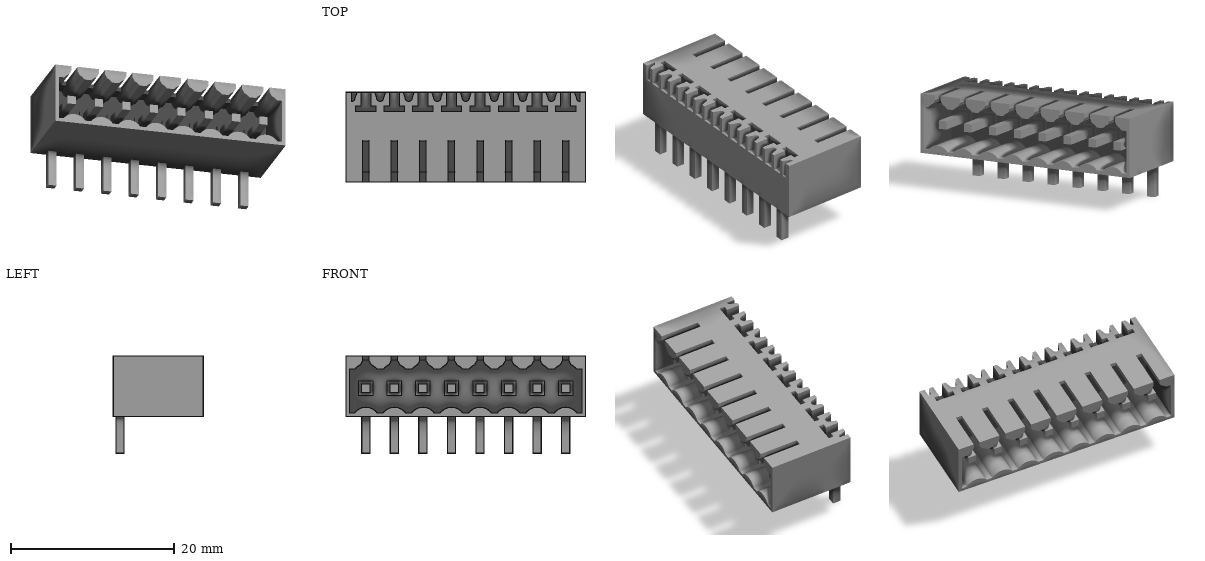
import cadquery as cq
import math


length = 29.4
depth = 11.05
height = 7.45
side_wall = 0.47
floor = 0.45

pin_count = 8
pitch = 3.5
pin_size = 1.03
pin_axis_z = 3.5
pin_tip_y = 1.23
pin_back_gap = 0.32
pin_drop = 4.5
pin_positions = [length / 2 + (i - (pin_count - 1) / 2) * pitch for i in range(pin_count)]

cavity_depth = 7.05
cavity_top = height - 1.6
lobe_radius = 1.7
hump_half_width = 1.38
arch_half_width = 1.32

slot_width = 0.8
slot_length = 5.05
groove_roof = height - 0.53

flare_top = height - 0.62
flare_bottom = height - 1.2
flare_width = 1.47

collar_size = 1.75
collar_length = 0.5

rear_cut_depth = 2.05

stem_width = 1.2
bar_width = 2.5
bar_near = 1.7
bar_far = 2.38

notch_width = 1.35
notch_depth = 1.15
notch_flank_depth = 0.68
notch_flank_half_width = 0.45


def block(x_range, y_range, z_range):
    """Box that fills the given ranges along X, Y and Z."""
    (x0, x1), (y0, y1), (z0, z1) = x_range, y_range, z_range
    return cq.Workplane("XY").box(x1 - x0, y1 - y0, z1 - z0, centered=False).translate((x0, y0, z0))


def around(center, size):
    """Range of the given size centred on a coordinate."""
    return (center - size / 2, center + size / 2)


def lobe(x, axis_z):
    """Round bar along Y, from the mouth to the back wall of the cavity."""
    return cq.Workplane("XZ", origin=(x, 0, axis_z)).circle(lobe_radius).extrude(-cavity_depth)


def roof_groove(x):
    """Flared groove along Y above a pin, as long as the cavity."""
    return (
        cq.Workplane("XZ", origin=(x, 0, 0))
        .moveTo(-slot_width / 2, groove_roof)
        .lineTo(slot_width / 2, groove_roof)
        .lineTo(slot_width / 2, flare_top)
        .lineTo(flare_width / 2, flare_bottom)
        .lineTo(-flare_width / 2, flare_bottom)
        .lineTo(-slot_width / 2, flare_top)
        .close()
        .extrude(-cavity_depth)
    )


def cavity():
    space = block((side_wall, length - side_wall), (0, cavity_depth), (floor, cavity_top))
    hump_axis_z = floor - math.sqrt(lobe_radius**2 - hump_half_width**2)
    arch_axis_z = cavity_top - math.sqrt(lobe_radius**2 - arch_half_width**2)
    for x in pin_positions:
        space = space.cut(lobe(x, hump_axis_z))
        space = space.union(lobe(x, arch_axis_z))
        space = space.union(roof_groove(x))
    for x in pin_positions:
        collar_y = (cavity_depth - collar_length, cavity_depth)
        space = space.cut(block(around(x, collar_size), collar_y, around(pin_axis_z, collar_size)))
    return space


def top_slot(x):
    return block(around(x, slot_width), (0, slot_length), (cavity_top, height))


def t_pocket(x):
    z_range = (height - rear_cut_depth, height)
    stem = block(around(x, stem_width), (depth - bar_far, depth), z_range)
    bar = block(around(x, bar_width), (depth - bar_far, depth - bar_near), z_range)
    return stem.union(bar)


def back_notch(x):
    flank_y = depth - notch_flank_depth
    return (
        cq.Workplane("XY", origin=(0, 0, height))
        .moveTo(x - notch_width / 2, depth)
        .lineTo(x - notch_flank_half_width, flank_y)
        .threePointArc((x, depth - notch_depth), (x + notch_flank_half_width, flank_y))
        .lineTo(x + notch_width / 2, depth)
        .close()
        .extrude(-rear_cut_depth)
    )


def back_notches():
    """All notches; the outermost two are cut off flat at their middle, leaving the inner half."""
    first_x = pin_positions[0] - pitch / 2
    last_x = pin_positions[-1] + pitch / 2
    notches = back_notch(first_x)
    for i in range(1, pin_count + 1):
        notches = notches.union(back_notch(first_x + i * pitch))
    return notches.intersect(block((first_x, last_x), (0, depth), (0, height)))


def make_pin(x):
    """Right-angle pin: a contact along Y and a leg down at the back."""
    x_range = around(x, pin_size)
    back_y = depth - pin_back_gap
    top_z = pin_axis_z + pin_size / 2
    contact = block(x_range, (pin_tip_y, back_y), around(pin_axis_z, pin_size))
    leg = block(x_range, (back_y - pin_size, back_y), (-pin_drop, top_z))
    return contact.union(leg)


def make_housing(pins):
    housing = block((0, length), (0, depth), (0, height)).cut(cavity()).cut(back_notches())
    for x in pin_positions:
        housing = housing.cut(top_slot(x)).cut(t_pocket(x))
    for pin in pins:
        housing = housing.cut(pin)
    return housing


pins = [make_pin(x) for x in pin_positions]
housing = make_housing(pins)

result = cq.Compound.makeCompound([housing.solids().val(), *[pin.solids().val() for pin in pins]])